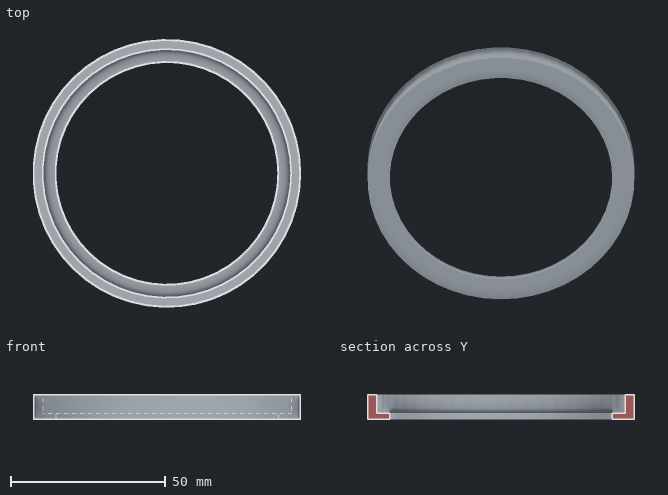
import cadquery as cq

outer_diameter = 86.4
wall_thickness = 3.0
bore_diameter = 72.0
height = 8.0
floor_thickness = 2.0

recess_diameter = outer_diameter - 2 * wall_thickness
recess_depth = height - floor_thickness


def ring_body():
    """Plain ring standing on Z = 0, with the bore running right through."""
    return (
        cq.Workplane("XY")
        .circle(outer_diameter / 2)
        .circle(bore_diameter / 2)
        .extrude(height)
    )


def recess():
    """Round recess that opens at the top and leaves a ledge around the bore."""
    return (
        cq.Workplane("XY")
        .workplane(offset=floor_thickness)
        .circle(recess_diameter / 2)
        .extrude(recess_depth)
    )


result = ring_body().cut(recess())